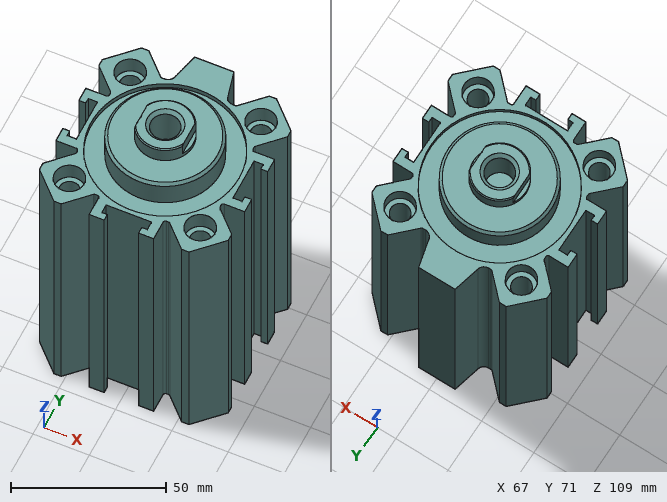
import cadquery as cq
import math

total_height = 109.0
total_width = 67.0
total_depth = 71.0
housing_height = 95.0
collar_top = 103.0

half_width = total_width / 2
core_half = 25.5
valley_fillet = 0.8
match_tolerance = 0.001

pad_angles = (0, 90, 180, 270)
pad_flat_inner = 21.4
pad_flat_outer = 24.0
bolt_offset = 23.2
bolt_diameter = 7.0
counterbore_diameter = 10.5
counterbore_depth = 6.5

rail_half = 11.4
slot_floor = 27.8
slot_half = 8.1
slot_lip = 31.1
slot_mouth_half = 6.1
rail_angles = (90, 180, 270)

rib_outer = total_depth - half_width
rib_tip_half = 7.0
rib_root_half = 9.9
rib_root_fillet = 2.7

recess_diameter = 52.5
recess_depth = 2.0
collar_diameter = 39.0
collar_chamfer = 1.0

rod_diameter = 20.0
rod_chamfer = 0.4
rod_seat_depth = rod_diameter
rod_bottom = collar_top - rod_seat_depth
flat_half = 8.5
flat_height = 4.5
rod_hole_diameter = 10.1
rod_hole_depth = 15.0
countersink_diameter = 12.6
countersink_angle = 90


def around_axis(shape, angle):
    return shape.rotate((0, 0, 0), (0, 0, 1), angle)


def prism(points):
    """Closed outline extruded over the full housing height."""
    return cq.Workplane("XY").polyline(points).close().extrude(housing_height)


def cylinder(diameter, bottom, top):
    return cq.Workplane("XY", origin=(0, 0, bottom)).circle(diameter / 2).extrude(top - bottom)


def slab(half_x, near_y, far_y):
    """Block symmetric about X = 0, between two Y positions."""
    return prism([(-half_x, near_y), (half_x, near_y), (half_x, far_y), (-half_x, far_y)])


def corner_pad():
    """Pad in the +X +Y corner; its sides run at 45 degrees into the core."""
    root = core_half - (half_width - pad_flat_inner)
    return prism([
        (0, 0),
        (core_half, root),
        (half_width, pad_flat_inner),
        (half_width, pad_flat_outer),
        (pad_flat_outer, half_width),
        (pad_flat_inner, half_width),
        (root, core_half),
    ])


def t_slot():
    """Slot volume opening towards +Y."""
    return slab(slot_half, slot_floor, slot_lip).union(slab(slot_mouth_half, slot_lip, half_width))


def rib():
    return prism([
        (-rib_root_half, core_half),
        (rib_root_half, core_half),
        (rib_tip_half, rib_outer),
        (-rib_tip_half, rib_outer),
    ])


def matches(value, target):
    return math.isclose(value, target, abs_tol=match_tolerance)


def on_valley_floor(edge):
    centre = edge.Center()
    return matches(max(abs(centre.x), abs(centre.y)), core_half)


def at_rib_root(edge):
    centre = edge.Center()
    return matches(centre.y, core_half) and matches(abs(centre.x), rib_root_half)


def at_rail_or_pad_root(edge):
    return on_valley_floor(edge) and not at_rib_root(edge)


def make_housing():
    body = cq.Workplane("XY").rect(2 * core_half, 2 * core_half).extrude(housing_height)
    for angle in pad_angles:
        body = body.union(around_axis(corner_pad(), angle))
    for angle in rail_angles:
        body = body.union(around_axis(slab(rail_half, 0, half_width), angle))
    body = body.union(rib()).clean()
    body = body.edges("|Z").filter(at_rail_or_pad_root).fillet(valley_fillet)
    body = body.edges("|Z").filter(at_rib_root).fillet(rib_root_fillet)
    for angle in rail_angles:
        body = body.cut(around_axis(t_slot(), angle))

    body = (
        body.faces(">Z").workplane(origin=(0, 0, 0))
        .rect(2 * bolt_offset, 2 * bolt_offset, forConstruction=True).vertices()
        .cboreHole(bolt_diameter, counterbore_diameter, counterbore_depth)
    )

    recess_floor = housing_height - recess_depth
    recess = cylinder(recess_diameter, recess_floor, housing_height)
    collar = cylinder(collar_diameter, recess_floor, collar_top).faces(">Z").chamfer(collar_chamfer)
    rod_seat = cylinder(rod_diameter, rod_bottom, collar_top)
    return body.cut(recess).union(collar).cut(rod_seat)


def make_rod():
    rod = (
        cylinder(rod_diameter, rod_bottom, total_height)
        .faces(">Z").chamfer(rod_chamfer)
        .faces(">Z").workplane()
        .cskHole(rod_hole_diameter, countersink_diameter, countersink_angle, depth=rod_hole_depth)
    )
    flat_zone = cq.Workplane("XY", origin=(0, 0, total_height - flat_height))
    flat_cut = (
        flat_zone.rect(2 * rod_diameter, rod_diameter).extrude(flat_height)
        .cut(flat_zone.rect(2 * flat_half, rod_diameter).extrude(flat_height))
    )
    return rod.cut(flat_cut)


housing = make_housing()
piston_rod = make_rod()
result = cq.Compound.makeCompound([housing.val(), piston_rod.val()])